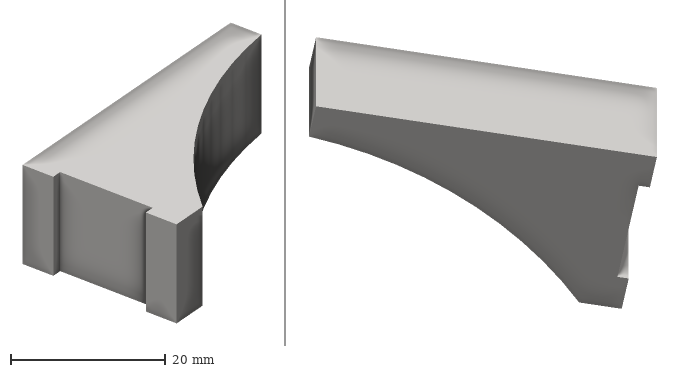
import cadquery as cq

width = 25.0
length = 45.0
height = 15.0

tip_width = 5.0
side_length = 5.62

pad_width = 5.0
channel_depth = 1.5

flank_mid_x = 11.95
flank_mid_y = 22.15


def body():
    """Bracket with one straight back and one concave flank."""
    return (
        cq.Workplane("XY")
        .lineTo(width, 0)
        .lineTo(width, side_length)
        .threePointArc((flank_mid_x, flank_mid_y), (tip_width, length))
        .lineTo(0, length)
        .close()
        .extrude(height)
    )


def foot_channel():
    """Full-height channel that leaves a pad at each side of the foot."""
    channel_width = width - 2 * pad_width
    return (
        cq.Workplane("XY")
        .moveTo(pad_width, 0)
        .rect(channel_width, channel_depth, centered=False)
        .extrude(height)
    )


result = body().cut(foot_channel())